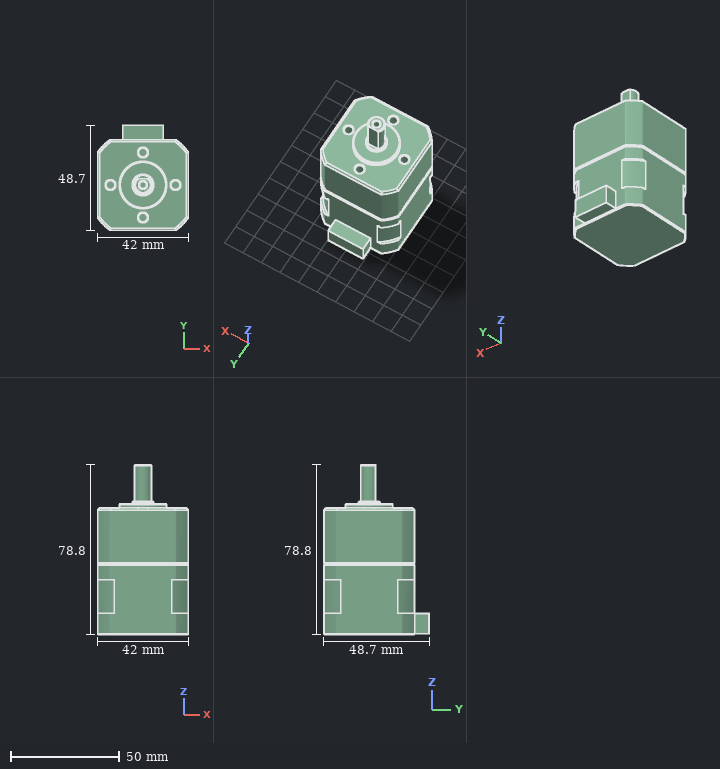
import cadquery as cq
import math


total_height = 78.8
body_width = 42.0
small_bevel = 0.5

cap_corner_radius = 25.9
stator_corner_radius = 24.8
corner_blend_radius = 1.0

rear_cap_height = 10.0
stator_height = 15.6
front_cap_height = 7.2
connector_width = 18.9
connector_reach = 6.7

gearbox_height = 26.0
gearbox_top_bevel = 1.0
pilot_diameter = 22.0
pilot_height = 2.0
mount_hole_count = 4
mount_hole_diameter = 4.2
mount_hole_depth = 10.0
mount_hole_offset = 15.05
mount_hole_bevel = 0.4

shaft_diameter = 8.0
collar_diameter = 10.0
collar_height = 1.0
flat_offset = 3.0
center_hole_diameter = 3.3
center_hole_depth = 10.0
center_hole_bevel = 0.4

stator_bottom = rear_cap_height
stator_top = stator_bottom + stator_height
motor_top = stator_top + front_cap_height
gearbox_top = motor_top + gearbox_height
pilot_top = gearbox_top + pilot_height
collar_top = pilot_top + collar_height


def turned_square(bottom, height, corner_radius):
    """Square bar whose four corners are turned down to a cylinder about the axis."""
    square = cq.Workplane("XY").workplane(offset=bottom).rect(body_width, body_width).extrude(height)
    cylinder = cq.Workplane("XY").workplane(offset=bottom).circle(corner_radius).extrude(height)
    return square.intersect(cylinder)


def blended_square(bottom, height):
    """Turned square with the edges beside its turned corners rounded off."""
    bar = turned_square(bottom, height, cap_corner_radius)
    return bar.edges("|Z").fillet(corner_blend_radius)


def disc(bottom, height, diameter):
    """Plain cylinder about the axis."""
    return cq.Workplane("XY").workplane(offset=bottom).circle(diameter / 2).extrude(height)


def beveled_hole(x, y, top, diameter, depth, bevel):
    """Cutter for a blind hole that has a countersunk mouth at the given level."""
    bore = cq.Workplane("XY").workplane(offset=top - depth).center(x, y).circle(diameter / 2).extrude(depth)
    mouth = cq.Solid.makeCone(diameter / 2, diameter / 2 + bevel, bevel, pnt=cq.Vector(x, y, top - bevel))
    return bore.union(cq.Workplane(mouth))


def make_motor():
    """Rear cap, stator and front cap in one body, with the connector on the +Y side."""
    rear_cap = blended_square(0, rear_cap_height).faces("<Z").chamfer(small_bevel)
    stator = turned_square(stator_bottom, stator_height, stator_corner_radius)
    front_cap = blended_square(stator_top, front_cap_height).faces(">Z").chamfer(small_bevel)

    connector_height = rear_cap_height - small_bevel
    connector = cq.Workplane("XY").box(
        connector_width, connector_reach, connector_height, centered=(True, False, False)
    ).translate((0, body_width / 2, small_bevel))

    motor_body = rear_cap.union(connector)
    motor_body = motor_body.union(stator, clean=False)
    return motor_body.union(front_cap, clean=False)


def make_gearbox():
    """Gearbox housing with a round pilot and a ring of mounting holes on top."""
    housing = blended_square(motor_top, gearbox_height)
    housing = housing.faces(">Z").chamfer(gearbox_top_bevel)
    housing = housing.faces("<Z").chamfer(small_bevel)

    pilot = disc(gearbox_top, pilot_height, pilot_diameter).faces(">Z").chamfer(small_bevel)
    housing = housing.union(pilot)

    for index in range(mount_hole_count):
        angle = 2 * math.pi * index / mount_hole_count
        hole = beveled_hole(
            mount_hole_offset * math.cos(angle),
            mount_hole_offset * math.sin(angle),
            gearbox_top,
            mount_hole_diameter,
            mount_hole_depth,
            mount_hole_bevel,
        )
        housing = housing.cut(hole)
    return housing


def make_output_shaft():
    """D-shaped shaft with a collar that rests on the pilot and a hole in its free end."""
    collar = disc(pilot_top, collar_height, collar_diameter).faces(">Z").chamfer(small_bevel)

    shaft_length = total_height - collar_top
    shaft = disc(collar_top, shaft_length, shaft_diameter).faces(">Z").chamfer(small_bevel)
    flat_cutter = cq.Workplane("XY").box(
        shaft_diameter, shaft_diameter, shaft_length, centered=(True, False, False)
    ).translate((0, flat_offset, collar_top))
    shaft = shaft.cut(flat_cutter)

    center_hole = beveled_hole(
        0, 0, total_height, center_hole_diameter, center_hole_depth, center_hole_bevel
    )
    return collar.union(shaft).cut(center_hole)


motor = make_motor()
gearbox = make_gearbox()
output_shaft = make_output_shaft()

result = cq.Compound.makeCompound([
    motor.solids().val(),
    gearbox.solids().val(),
    output_shaft.solids().val(),
])